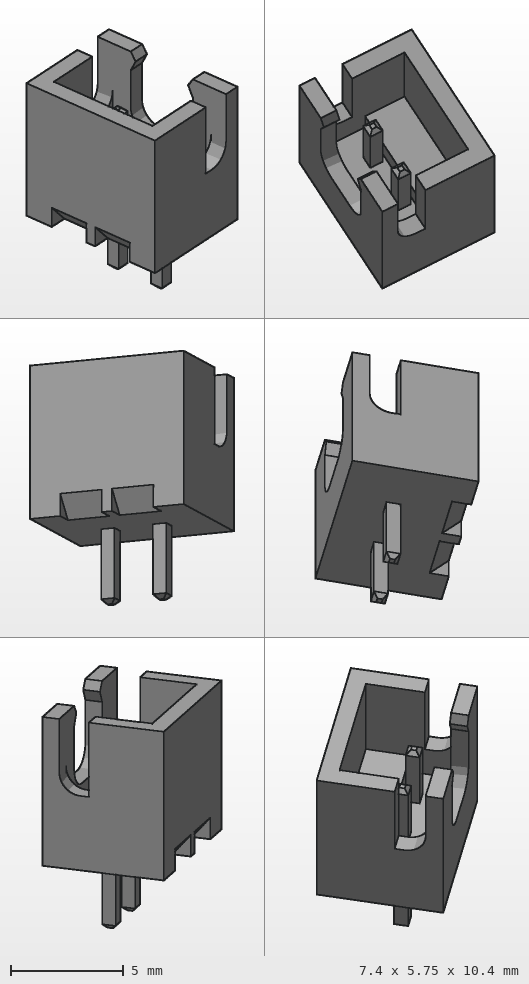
import cadquery as cq

width = 7.4
depth = 5.75
height = 7.0
wall = 0.86
back_wall = 0.8
overlap = 0.1

floor_height = 2.0
ledge_height = 3.0
ledge_back = 2.88

slot_radius = 1.0
side_slot_front = 3.55
side_slot_bottom = 3.5
back_slot_width = 3.58
back_slot_bottom = 3.04

nose_reach = 0.28
nose_lead = 0.42
nose_undercut = 0.57

pin_pitch = 2.5
pin_size = 0.65
pin_y = 3.39
pin_top = 5.02
pin_bottom = -3.4
pin_tip_size = 0.24
pin_tip_length = 0.21

notch_width = 2.0
notch_height = 1.02
notch_depth = 0.88

pin_positions = (-pin_pitch / 2, pin_pitch / 2)


def block(x_size, y_front, y_back, z_low, z_high):
    """Box centred on X between the given Y and Z limits."""
    box = cq.Workplane("XY").box(x_size, y_back - y_front, z_high - z_low, centered=(True, False, False))
    return box.translate((0, y_front, z_low))


def make_housing():
    """Open-topped box with a stepped floor."""
    outer = block(width, 0, depth, 0, height)
    inner_width = width - 2 * wall
    cavity = block(inner_width, wall, depth - back_wall, floor_height, height + overlap)
    ledge = block(inner_width, wall, ledge_back, floor_height, ledge_height)
    return outer.cut(cavity).union(ledge)


def side_slots():
    """Slot through both side walls, rounded where it meets the back wall."""
    slot = block(width + 2 * overlap, side_slot_front, depth - back_wall, side_slot_bottom, height + overlap)
    return slot.faces(">Y").edges("<Z").fillet(slot_radius)


def back_slot():
    """Slot through the back wall with rounded lower corners, narrowed by the latch noses."""
    half = back_slot_width / 2
    nose_tip_z = height - nose_lead
    right_side = [
        (half, back_slot_bottom),
        (half, nose_tip_z - nose_undercut),
        (half - nose_reach, nose_tip_z),
        (half, height),
        (half, height + overlap),
    ]
    left_side = [(-x, z) for x, z in reversed(right_side)]
    slot = (
        cq.Workplane("XZ", origin=(0, depth + overlap, 0))
        .polyline(right_side + left_side)
        .close()
        .extrude(back_wall + overlap)
    )
    lower_corners = cq.selectors.BoxSelector(
        (-width, 0, back_slot_bottom - overlap),
        (width, depth + overlap, back_slot_bottom + overlap),
    )
    return slot.edges("|Y").edges(lower_corners).fillet(slot_radius)


def front_notch(x):
    """Wedge whose face slopes from the front wall down to the underside."""
    return (
        cq.Workplane("YZ", origin=(x - notch_width / 2, 0, 0))
        .polyline([(0, 0), (notch_depth, 0), (0, notch_height)])
        .close()
        .extrude(notch_width)
    )


def pin_tip(base_z, direction):
    """Truncated pyramid pointing up (+1) or down (-1)."""
    return (
        cq.Workplane("XY", origin=(0, pin_y, base_z))
        .rect(pin_size, pin_size)
        .workplane(offset=direction * pin_tip_length)
        .rect(pin_tip_size, pin_tip_size)
        .loft(ruled=True)
    )


def make_pin(x):
    """Square pin tapered at both ends."""
    shaft_low = pin_bottom + pin_tip_length
    shaft_high = pin_top - pin_tip_length
    shaft = block(pin_size, pin_y - pin_size / 2, pin_y + pin_size / 2, shaft_low, shaft_high)
    pin = shaft.union(pin_tip(shaft_high, 1)).union(pin_tip(shaft_low, -1))
    return pin.translate((x, 0, 0))


result = make_housing().cut(side_slots()).cut(back_slot())
for pin_x in pin_positions:
    result = result.cut(front_notch(pin_x)).union(make_pin(pin_x))